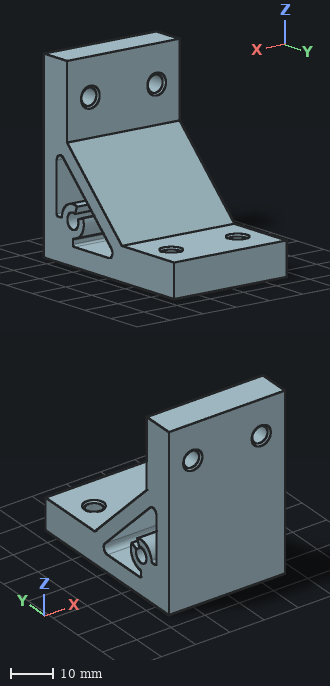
import cadquery as cq
import math

leg_length = 50
width = 34
leg_thickness = 9
web_end = 30
web_thickness = 3.9

pocket_wall = 5
pocket_tip_radius = 1.5
pocket_root_radius = 0.55

ring_center = 11.2
ring_outer_radius = 4.2
ring_bore_radius = 2.1
diagonal_angle = 45
slot_half_angle = 22.5

hole_diameter = 4.5
hole_chamfer = 0.55
hole_spacing = 20
hole_edge_x = 7
hole_height = 40


def extrude_across(sketch):
    """Extrude a Y-Z outline over the full width."""
    return sketch.extrude(width)


def bracket_body():
    outline = [
        (0, 0),
        (leg_length, 0),
        (leg_length, leg_thickness),
        (web_end, leg_thickness),
        (leg_thickness, web_end),
        (leg_thickness, leg_length),
        (0, leg_length),
    ]
    return extrude_across(cq.Workplane("YZ").polyline(outline).close())


def ring_disc(radius):
    return extrude_across(cq.Workplane("YZ").center(ring_center, ring_center).circle(radius))


def full_width_box(low, high):
    """Selector for edges between two Y-Z corners, anywhere along the width."""
    return cq.selectors.BoxSelector((0, *low), (width, *high))


def pocket():
    """Triangle less the corner block and the ring disc, with rounded corners."""
    web_inner_sum = web_end + leg_thickness - web_thickness * math.sqrt(2)
    tip = web_inner_sum - pocket_wall
    triangle = [(pocket_wall, pocket_wall), (tip, pocket_wall), (pocket_wall, tip)]
    void = extrude_across(cq.Workplane("YZ").polyline(triangle).close())
    void = void.cut(extrude_across(cq.Workplane("YZ").rect(ring_center, ring_center, centered=False)))
    void = void.cut(ring_disc(ring_outer_radius))

    ring_reach = ring_center + ring_outer_radius
    tips = full_width_box((ring_reach, 0), (leg_length, leg_length))
    tips += full_width_box((0, ring_reach), (leg_length, leg_length))
    void = void.edges("|X").edges(tips).fillet(pocket_tip_radius)
    roots = full_width_box((0, 0), (ring_reach, ring_reach))
    return void.edges("|X").edges(roots).fillet(pocket_root_radius)


def ring_slot():
    """Wedge from the ring center, long enough to pass the ring's outer face."""
    reach = ring_outer_radius / math.cos(math.radians(slot_half_angle))
    corners = [(ring_center, ring_center)]
    for angle in (diagonal_angle - slot_half_angle, diagonal_angle + slot_half_angle):
        turn = math.radians(angle)
        corners.append((ring_center + reach * math.cos(turn), ring_center + reach * math.sin(turn)))
    return extrude_across(cq.Workplane("YZ").polyline(corners).close())


def mounting_hole(x):
    """Hole through the upright leg, chamfered at both faces."""
    radius = hole_diameter / 2
    profile = [
        (0, 0),
        (radius + hole_chamfer, 0),
        (radius, hole_chamfer),
        (radius, leg_thickness - hole_chamfer),
        (radius + hole_chamfer, leg_thickness),
        (0, leg_thickness),
    ]
    cutter = cq.Workplane("XY").polyline(profile).close().revolve(360, (0, 0, 0), (0, 1, 0))
    return cutter.translate((x, 0, hole_height))


result = bracket_body().cut(pocket()).cut(ring_disc(ring_bore_radius)).cut(ring_slot())
for hole_x in (hole_edge_x, hole_edge_x + hole_spacing):
    upright_hole = mounting_hole(hole_x)
    flat_hole = upright_hole.rotate((0, 0, 0), (1, 0, 0), -90).translate((0, 0, leg_thickness))
    result = result.cut(upright_hole).cut(flat_hole)